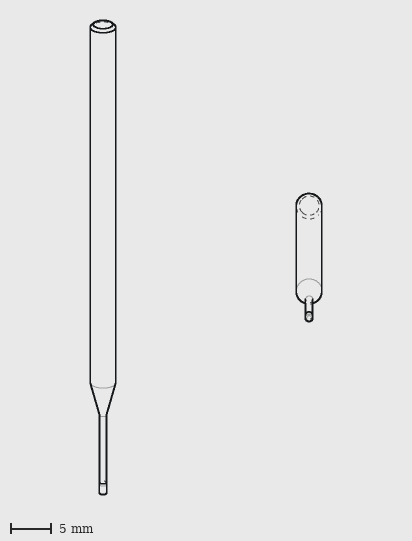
import cadquery as cq

overall_length = 63.5
shank_diameter = 3.175
shank_radius = shank_diameter / 2

end_chamfer = 0.38

shank_bottom = 15.05
neck_radius = 0.44
neck_top = 10.65

head_radius = 0.475
head_length = 1.5
head_shoulder_height = 0.25
corner_radius = 0.15


def make_holder():
    """Shank, taper and neck, turned in one piece about Z."""
    profile = (
        cq.Workplane("YZ")
        .moveTo(0, head_length)
        .lineTo(-neck_radius, head_length)
        .lineTo(-neck_radius, neck_top)
        .lineTo(-shank_radius, shank_bottom)
        .lineTo(-shank_radius, overall_length - end_chamfer)
        .lineTo(-(shank_radius - end_chamfer), overall_length)
        .lineTo(0, overall_length)
        .close()
    )
    return profile.revolve(360, (0, 0, 0), (0, 1, 0))


def make_cutting_head():
    """Tip with a rounded cutting corner and a conical shoulder up to the neck."""
    profile = (
        cq.Workplane("XZ")
        .lineTo(-(head_radius - corner_radius), 0)
        .radiusArc((-head_radius, corner_radius), corner_radius)
        .lineTo(-head_radius, head_length - head_shoulder_height)
        .lineTo(-neck_radius, head_length)
        .lineTo(0, head_length)
        .close()
    )
    return profile.revolve(360, (0, 0, 0), (0, 1, 0))


holder = make_holder()
cutting_head = make_cutting_head()

result = cq.Compound.makeCompound([holder.val(), cutting_head.val()])